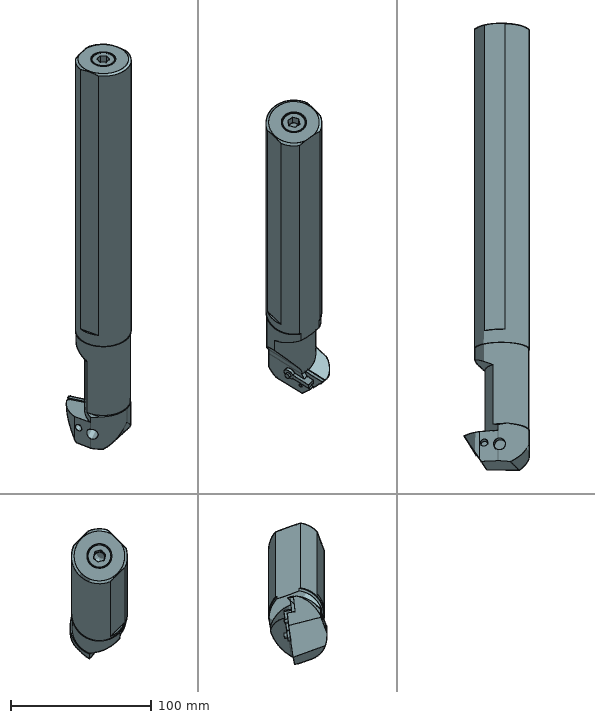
import cadquery as cq
import math


TOTAL_LENGTH = 325.0
TOTAL_WIDTH = 46.0
TOTAL_DEPTH = 42.0

SHANK_DIAMETER = 40.0
SHANK_RADIUS = SHANK_DIAMETER / 2
CHAMFER_WIDTH = 2.0
CHAMFER_HEIGHT = 1.0
SIDE_FLAT_OFFSET = 18.5
SIDE_FLAT_BOTTOM = 98.0
LONG_FLAT_OFFSET = 17.5
COLLAR_BOTTOM = 88.5

NECK_RADIUS = 19.5
GULLET_RADIUS = 23.7
GULLET_CENTER_X = 12.5
GULLET_TOP = 72.0
GULLET_FLOOR_FRONT = 22.8
GULLET_FLOOR_BACK = 24.0
RUNOUT_HEIGHT = 13.0

HEAD_TOP = 28.3
HEAD_TOP_DROP = 1.3
HEAD_FRONT_Y = SHANK_RADIUS - TOTAL_DEPTH
FRONT_FLAT_LEFT = -10.5
FRONT_FLAT_RIGHT = 3.2
HEAD_LEFT = -26.0
HEAD_LEFT_Y = -7.5
HEAD_LEFT_MIDDLE = (-20.0, -16.2)
HEAD_RIGHT_MIDDLE = (14.0, -15.5)
APPROACH_FOOT_X = -10.7
APPROACH_TIP_X = -26.3
APPROACH_TWIST = 5.5
HEEL_TOP = 16.0
HEEL_FOOT_X = 11.5
HEEL_MIDDLE = (17.5, 6.8)
END_RISE = 1.0

RAKE_TILT = 12.0
RAKE_DEPTH = 4.2
RAKE_RAMP_BOTTOM = 29.0
RAKE_RAMP_TOP = 60.0
RAKE_BLEND_RADIUS = 19.5

INSERT_TIP_Z = 24.7
INSERT_SIDE = 16.5
INSERT_BOTTOM = -1.5
INSERT_TOP = 1.0
TILT_ANGLE = math.radians(RAKE_TILT)
TIP_REACH = SHANK_RADIUS - TOTAL_WIDTH
INSERT_TIP_X = (TIP_REACH + INSERT_TOP * math.sin(TILT_ANGLE)) / math.cos(TILT_ANGLE)

CLAMP_NOSE_X = -18.2
CLAMP_NOSE_BOTTOM = 16.0
CLAMP_NOSE_TOP = 20.0
CLAMP_TOP = 6.5
CLAMP_PAD_RADIUS = 4.2
CLAMP_SCREW_X = -0.3
CLAMP_SCREW_RADIUS = 4.2
CLAMP_SCREW_LENGTH = 9.8
CLAMP_STUD_RADIUS = 2.0
CLAMP_STUD_END = 8.5
CLAMP_SCREW_LEAN = 10.0
CLAMP_HOLE_Z = 12.7
CLAMP_SCREW_END = -8.0

STOP_SCREW_X = -11.5
STOP_SCREW_Z = 14.3
STOP_SCREW_RADIUS = 2.5
STOP_SCREW_END = -13.5
STOP_SHOULDER = 0.0
STOP_POINT_RADIUS = 1.3
STOP_POINT_END = 7.0

PLUG_RADIUS = 8.0
PLUG_LENGTH = 19.5
PLUG_SEAT_CHAMFER = 0.8
SOCKET_WIDTH = 7.8
SOCKET_DEPTH = 6.5

REACH = 65.0


def rake_tilted(shape):
    """Turn a shape built square to the axes into the frame of the rake plane."""
    return shape.rotate((0, 0, 0), (0, 0, 1), RAKE_TILT)


def rake_prism(profile, bottom, top):
    """Extrude an XZ outline between two depths along the rake normal."""
    return profile.extrude(bottom - top).translate((0, bottom, 0))


def rod(radius, x, z, start, end, lean=0.0):
    """Cylinder along the rake normal; x and z locate its axis at its start depth."""
    slope = math.radians(lean)
    direction = cq.Vector(0, math.cos(slope), math.sin(slope))
    length = (end - start) / math.cos(slope)
    return cq.Workplane(cq.Solid.makeCylinder(radius, length, cq.Vector(x, start, z), direction))


def make_shank():
    """Turned shank, collar and neck, with a flat on +Y and on -Y."""
    turned = (
        cq.Workplane("XZ")
        .polyline(
            [
                (0, GULLET_FLOOR_FRONT),
                (NECK_RADIUS, GULLET_FLOOR_FRONT),
                (NECK_RADIUS, COLLAR_BOTTOM),
                (SHANK_RADIUS, COLLAR_BOTTOM),
                (SHANK_RADIUS, TOTAL_LENGTH - CHAMFER_HEIGHT),
                (SHANK_RADIUS - CHAMFER_WIDTH, TOTAL_LENGTH),
                (0, TOTAL_LENGTH),
            ]
        )
        .close()
        .revolve(360, (0, 0), (0, 1))
    )
    for side in (1, -1):
        outside_flat = (
            cq.Workplane()
            .workplane(offset=SIDE_FLAT_BOTTOM)
            .center(0, side * (SIDE_FLAT_OFFSET + REACH / 2))
            .rect(REACH, REACH)
            .extrude(TOTAL_LENGTH)
        )
        turned = turned.cut(outside_flat)
    return turned


def head_outline():
    diagonal = SHANK_RADIUS * math.sqrt(0.5)
    return (
        cq.Workplane()
        .moveTo(FRONT_FLAT_LEFT, HEAD_FRONT_Y)
        .lineTo(FRONT_FLAT_RIGHT, HEAD_FRONT_Y)
        .threePointArc(HEAD_RIGHT_MIDDLE, (SHANK_RADIUS, 0))
        .threePointArc((diagonal, diagonal), (0, SHANK_RADIUS))
        .lineTo(HEAD_LEFT, 0)
        .lineTo(HEAD_LEFT, HEAD_LEFT_Y)
        .threePointArc(HEAD_LEFT_MIDDLE, (FRONT_FLAT_LEFT, HEAD_FRONT_Y))
        .close()
    )


def make_head():
    """Head block whose top falls away in front of the neck."""
    head = head_outline().extrude(HEAD_TOP)
    front_slope = [
        (-NECK_RADIUS, HEAD_TOP),
        (HEAD_FRONT_Y, HEAD_TOP - HEAD_TOP_DROP),
        (HEAD_FRONT_Y, HEAD_TOP),
    ]
    return head.cut(cq.Workplane("YZ").polyline(front_slope).close().extrude(REACH, both=True))


def gullet_cutter():
    """Everything outside the eccentric turning, between the sloping floor and the cone."""
    floor_slope = (GULLET_FLOOR_BACK - GULLET_FLOOR_FRONT) / -HEAD_FRONT_Y
    runout_top = GULLET_TOP + RUNOUT_HEIGHT
    block = (
        cq.Workplane("YZ")
        .polyline(
            [
                (-REACH, GULLET_FLOOR_BACK - floor_slope * REACH),
                (REACH, GULLET_FLOOR_BACK + floor_slope * REACH),
                (REACH, runout_top),
                (-REACH, runout_top),
            ]
        )
        .close()
        .extrude(-REACH)
        .translate((GULLET_CENTER_X, 0, 0))
    )
    core = (
        cq.Workplane("XZ")
        .polyline(
            [
                (0, 0),
                (GULLET_RADIUS, 0),
                (GULLET_RADIUS, GULLET_TOP),
                (GULLET_RADIUS + RUNOUT_HEIGHT, runout_top),
                (0, runout_top),
            ]
        )
        .close()
        .revolve(360, (0, 0), (0, 1))
        .translate((GULLET_CENTER_X, 0, 0))
    )
    return block.cut(core)


def long_flat_cutter():
    return (
        cq.Workplane()
        .workplane(offset=GULLET_TOP)
        .center(-LONG_FLAT_OFFSET - REACH / 2, 0)
        .rect(REACH, REACH)
        .extrude(TOTAL_LENGTH)
    )


def rake_cutter():
    profile = [
        (RAKE_DEPTH, 0),
        (RAKE_DEPTH, RAKE_RAMP_BOTTOM),
        (NECK_RADIUS, RAKE_RAMP_TOP),
        (REACH, RAKE_RAMP_TOP),
        (REACH, 0),
    ]
    cutter = cq.Workplane("YZ").polyline(profile).close().extrude(REACH, both=True)
    knee = cq.selectors.NearestToPointSelector((0, RAKE_DEPTH, RAKE_RAMP_BOTTOM))
    return rake_tilted(cutter.edges(knee).fillet(RAKE_BLEND_RADIUS))


def approach_cutter():
    profile = [
        (APPROACH_FOOT_X, 0),
        (APPROACH_TIP_X, GULLET_FLOOR_BACK),
        (-REACH, GULLET_FLOOR_BACK),
        (-REACH, 0),
    ]
    cutter = cq.Workplane("XZ").polyline(profile).close().extrude(REACH, both=True)
    return cutter.rotate((0, 0, 0), (0, 0, 1), APPROACH_TWIST)


def heel_cutter():
    return (
        cq.Workplane("XZ")
        .moveTo(HEEL_FOOT_X, 0)
        .threePointArc(HEEL_MIDDLE, (SHANK_RADIUS, HEEL_TOP))
        .lineTo(REACH, HEEL_TOP)
        .lineTo(REACH, 0)
        .close()
        .extrude(REACH, both=True)
    )


def end_cutter():
    profile = [
        (HEEL_FOOT_X, 0),
        (HEAD_LEFT, END_RISE),
        (HEAD_LEFT, 0),
    ]
    return cq.Workplane("XZ").polyline(profile).close().extrude(REACH, both=True)


def insert_prism(top):
    """Equilateral triangle with a level upper side, cutting tip at -X."""
    half_side = INSERT_SIDE / 2
    height = INSERT_SIDE * math.sqrt(0.75)
    profile = (
        cq.Workplane("XZ")
        .moveTo(INSERT_TIP_X, INSERT_TIP_Z)
        .lineTo(INSERT_TIP_X + INSERT_SIDE, INSERT_TIP_Z)
        .lineTo(INSERT_TIP_X + half_side, INSERT_TIP_Z - height)
        .close()
    )
    return rake_tilted(rake_prism(profile, INSERT_BOTTOM, top))


def make_insert():
    return insert_prism(INSERT_TOP)


def leaning_rod(radius, start, end):
    """Cylinder on the leaning axis of the clamp screw."""
    rise = (start - HEAD_FRONT_Y) * math.tan(math.radians(CLAMP_SCREW_LEAN))
    return rake_tilted(
        rod(radius, CLAMP_SCREW_X, CLAMP_HOLE_Z + rise, start, end, CLAMP_SCREW_LEAN)
    )


def make_clamp_screw():
    shoulder = CLAMP_SCREW_END + CLAMP_SCREW_LENGTH
    thread = leaning_rod(CLAMP_SCREW_RADIUS, CLAMP_SCREW_END, shoulder)
    return thread.union(leaning_rod(CLAMP_STUD_RADIUS, shoulder, CLAMP_STUD_END))


def make_clamp(screw):
    nose_height = CLAMP_NOSE_TOP - CLAMP_NOSE_BOTTOM
    nose_length = CLAMP_SCREW_X - CLAMP_NOSE_X
    middle_z = CLAMP_NOSE_BOTTOM + nose_height / 2
    nose_profile = (
        cq.Workplane("XZ").center(CLAMP_NOSE_X + nose_length / 2, middle_z).rect(nose_length, nose_height)
    )
    nose = rake_prism(nose_profile, INSERT_TOP, CLAMP_TOP)
    pad = rod(CLAMP_PAD_RADIUS, CLAMP_SCREW_X, middle_z, RAKE_DEPTH, CLAMP_TOP)
    return rake_tilted(nose.union(pad)).cut(screw)


def stop_rod(radius, start, end):
    return rake_tilted(rod(radius, STOP_SCREW_X, STOP_SCREW_Z, start, end))


def make_stop_screw():
    body = stop_rod(STOP_SCREW_RADIUS, STOP_SCREW_END, STOP_SHOULDER)
    return body.union(stop_rod(STOP_POINT_RADIUS, STOP_SCREW_END, STOP_POINT_END))


def plug_cylinder():
    return cq.Workplane().workplane(offset=TOTAL_LENGTH).circle(PLUG_RADIUS).extrude(-PLUG_LENGTH)


def make_plug():
    """Plug with a hexagon socket that ends in a 45 degree drill point."""
    corner_diameter = SOCKET_WIDTH / math.cos(math.pi / 6)
    socket = (
        cq.Workplane()
        .workplane(offset=TOTAL_LENGTH)
        .polygon(6, corner_diameter)
        .extrude(-SOCKET_DEPTH)
        .rotate((0, 0, 0), (0, 0, 1), 90)
    )
    point_radius = SOCKET_WIDTH / 2
    point = cq.Solid.makeCone(
        point_radius, 0, point_radius, cq.Vector(0, 0, TOTAL_LENGTH - SOCKET_DEPTH), cq.Vector(0, 0, -1)
    )
    return plug_cylinder().cut(socket).cut(cq.Workplane(point))


def plug_seat_cutter():
    seat_top = cq.Workplane().workplane(offset=TOTAL_LENGTH).circle(PLUG_RADIUS + PLUG_SEAT_CHAMFER)
    countersink = seat_top.extrude(-PLUG_SEAT_CHAMFER, taper=45)
    return plug_cylinder().union(countersink)


def make_bar(clamp, clamp_screw, stop_screw):
    bar = make_shank().union(make_head())
    cutters = [
        gullet_cutter(),
        long_flat_cutter(),
        rake_cutter(),
        approach_cutter(),
        heel_cutter(),
        end_cutter(),
        insert_prism(REACH),
        leaning_rod(CLAMP_SCREW_RADIUS, -REACH, CLAMP_SCREW_END),
        stop_rod(STOP_SCREW_RADIUS, -REACH, STOP_SCREW_END),
        plug_seat_cutter(),
        clamp,
        clamp_screw,
        stop_screw,
    ]
    for cutter in cutters:
        bar = bar.cut(cutter)
    return bar


insert = make_insert()
clamp_screw = make_clamp_screw()
clamp = make_clamp(clamp_screw)
stop_screw = make_stop_screw()
plug = make_plug()
bar = make_bar(clamp, clamp_screw, stop_screw)

result = cq.Compound.makeCompound(
    [body.solids().val() for body in (bar, insert, clamp, clamp_screw, stop_screw, plug)]
)